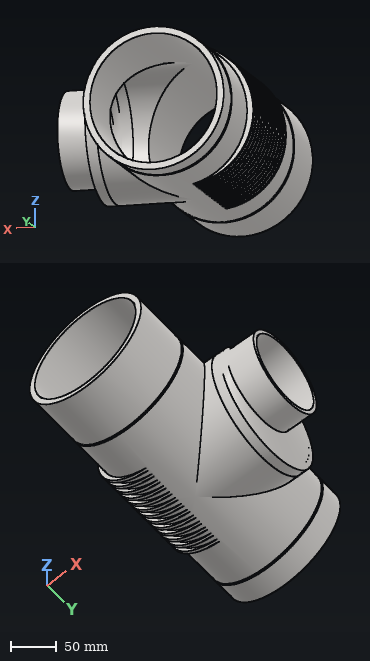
import cadquery as cq

PIPE_DIAMETER = 160.5
WALL = 7.7
RUN_LENGTH = 335.0
RUN_START = -185.0
RUN_END = RUN_START + RUN_LENGTH
BORE_DIAMETER = PIPE_DIAMETER - 2 * WALL

GROOVE_WIDTH = 1.7
GROOVE_DEPTH = 1.0
LONG_END = 69.0
SHORT_END = 29.0
FITTING_START = RUN_START + LONG_END + GROOVE_WIDTH
FITTING_END = RUN_END - SHORT_END - GROOVE_WIDTH
GROOVE_DIAMETER = PIPE_DIAMETER - 2 * GROOVE_DEPTH

RIB_COUNT = 13
RIB_ROW_LENGTH = 120.0
RIB_PITCH = RIB_ROW_LENGTH / (RIB_COUNT - 1)
RIB_THICKNESS = 4.0
RIB_RADIUS = 78.7
RIB_OFFSET = 8.5

BRANCH_TILT = 1.5
SEAM_STATION = 88.0
CONE_START = 101.0
CONE_END = 109.0
BRANCH_END = 145.7
REDUCER_DIAMETER = 160.0
SPIGOT_DIAMETER = 110.0
SPIGOT_WALL = 5.5
SPIGOT_BORE = SPIGOT_DIAMETER - 2 * SPIGOT_WALL
SPIGOT_OFFSET = -24.0


def run_cylinder(diameter, start, end):
    """Cylinder on the run axis between two Y positions."""
    return cq.Workplane("XZ", origin=(0, start, 0)).circle(diameter / 2).extrude(start - end)


def branch_circle(diameter, station, offset=0):
    """Circle across the untilted branch axis; the offset is along Y."""
    return cq.Workplane("YZ", origin=(station, 0, 0)).center(offset, 0).circle(diameter / 2)


def tilt(body):
    """Lean a body built along X to the branch direction."""
    return body.rotate((0, 0, 0), (0, 0, 1), BRANCH_TILT)


def make_ribs():
    """Row of rib discs centred on the origin in Y."""
    ribs = cq.Workplane("XY")
    for index in range(RIB_COUNT):
        centre_y = index * RIB_PITCH - RIB_ROW_LENGTH / 2
        rib = (
            cq.Workplane("XZ", origin=(-RIB_OFFSET, centre_y, 0))
            .circle(RIB_RADIUS)
            .extrude(RIB_THICKNESS / 2, both=True)
        )
        ribs = ribs.add(rib)
    return ribs.vals()


def make_tee():
    """Run pipe with grooves, ribs and the branch stub, bored through."""
    tee = run_cylinder(PIPE_DIAMETER, FITTING_START, FITTING_END)
    tee = tee.union(run_cylinder(GROOVE_DIAMETER, RUN_START, RUN_END))
    tee = tee.union(run_cylinder(PIPE_DIAMETER, RUN_START, RUN_START + LONG_END))
    tee = tee.union(run_cylinder(PIPE_DIAMETER, RUN_END - SHORT_END, RUN_END))
    for rib in make_ribs():
        tee = tee.union(cq.Workplane(rib))
    stub = tilt(branch_circle(PIPE_DIAMETER, 0).extrude(SEAM_STATION))
    stub_bore = tilt(branch_circle(BORE_DIAMETER, 0).extrude(SEAM_STATION))
    return tee.union(stub).cut(run_cylinder(BORE_DIAMETER, RUN_START, RUN_END)).cut(stub_bore)


def reducer_shape(large_diameter, small_diameter):
    """Cylinder, eccentric cone and offset spigot cylinder, solid."""
    collar = branch_circle(large_diameter, SEAM_STATION).extrude(CONE_START - SEAM_STATION)
    cone = (
        branch_circle(large_diameter, CONE_START)
        .workplane(offset=CONE_END - CONE_START)
        .center(SPIGOT_OFFSET, 0)
        .circle(small_diameter / 2)
        .loft(ruled=True)
    )
    spigot = branch_circle(small_diameter, CONE_END, SPIGOT_OFFSET).extrude(BRANCH_END - CONE_END)
    return collar.union(cone).union(spigot)


def make_reducer():
    """Hollow eccentric reducer that butts against the branch stub."""
    outside = reducer_shape(REDUCER_DIAMETER, SPIGOT_DIAMETER)
    inside = reducer_shape(BORE_DIAMETER, SPIGOT_BORE)
    return tilt(outside.cut(inside))


tee = make_tee()
reducer = make_reducer()
result = cq.Compound.makeCompound([tee.val(), reducer.val()])